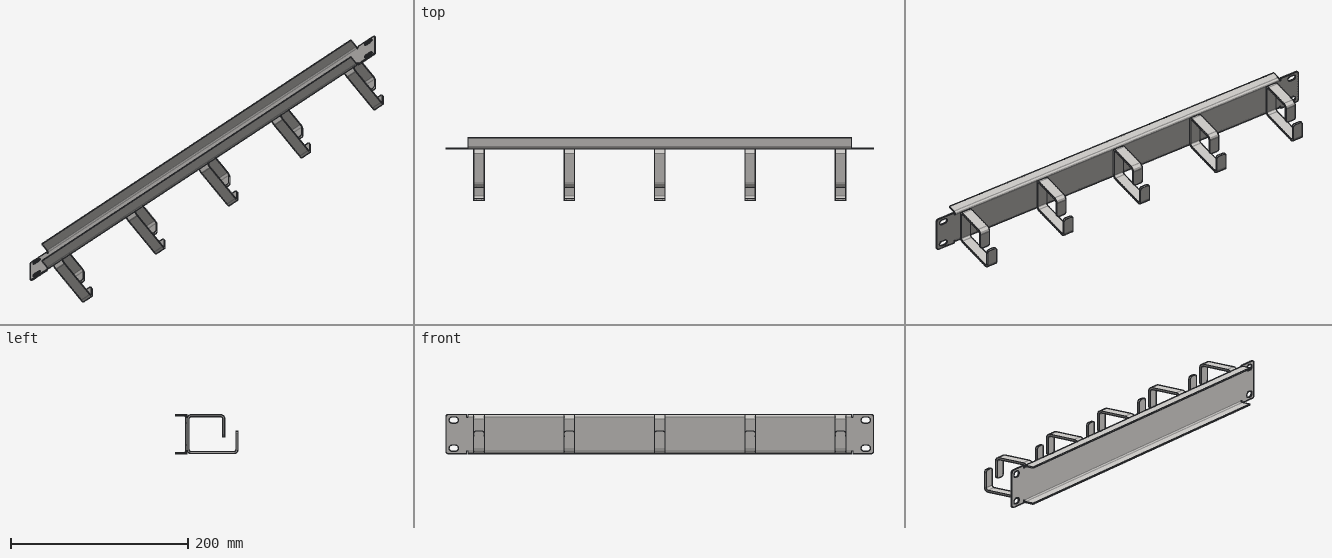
import cadquery as cq

panel_width = 483.0
panel_height = 44.45
panel_depth = 13.0
sheet_thickness = 1.5
sheet_bend_radius = 3.0

ear_length = 25.0
ear_corner_radius = 3.0
relief_width = 1.5
slot_spacing_x = 465.0
slot_spacing_z = 31.75
slot_length = 10.3
slot_height = 6.8

hook_count = 5
hook_pitch = 102.0
hook_width = 12.0
hook_thickness = 2.5
hook_bend_radius = 5.0
hook_height = 44.0
lower_arm_reach = 58.0
upper_arm_reach = 43.0
lip_length = 25.5
lip_corner_radius = 3.0

flange_width = panel_width - 2 * ear_length


def make_channel():
    """Folded sheet: a front web with a flange turned back along the top and the bottom."""
    inner_height = panel_height - 2 * sheet_thickness
    outer = (
        cq.Workplane("XY")
        .box(flange_width, panel_depth, panel_height)
        .translate((0, panel_depth / 2, 0))
        .edges("|X and <Y")
        .fillet(sheet_bend_radius)
    )
    inner = (
        cq.Workplane("XY")
        .box(flange_width, panel_depth, inner_height)
        .translate((0, panel_depth / 2 + sheet_thickness, 0))
        .edges("|X and <Y")
        .fillet(sheet_bend_radius - sheet_thickness)
    )
    return outer.cut(inner)


def make_ear(side):
    """Flat mounting ear on the left (side = -1) or right (side = 1), with two slots."""
    ear_center_x = side * (panel_width - ear_length) / 2
    ear = (
        cq.Workplane("XY")
        .box(ear_length, sheet_thickness, panel_height)
        .translate((ear_center_x, sheet_thickness / 2, 0))
        .edges("|Y and " + ("<X" if side < 0 else ">X"))
        .fillet(ear_corner_radius)
    )
    slots = (
        cq.Workplane("XZ")
        .pushPoints([(side * slot_spacing_x / 2, row * slot_spacing_z / 2) for row in (-1, 1)])
        .slot2D(slot_length, slot_height)
        .extrude(sheet_thickness, both=True)
    )
    relief_x = side * (flange_width + relief_width) / 2
    relief_z = (panel_height - sheet_bend_radius) / 2
    reliefs = (
        cq.Workplane("XZ")
        .pushPoints([(relief_x, row * relief_z) for row in (-1, 1)])
        .rect(relief_width, sheet_bend_radius)
        .extrude(sheet_thickness, both=True)
    )
    return ear.cut(slots).cut(reliefs)


def make_panel():
    """One folded sheet: the channel with an ear at each end."""
    return make_channel().union(make_ear(-1)).union(make_ear(1))


def make_hook(center_x):
    """Bent strip: a back leg on the panel, a long lower arm and a short upper arm, each with a lip."""
    middle = hook_thickness / 2
    bend = hook_bend_radius - middle
    back = -middle
    top = hook_height / 2 - middle
    bottom = -top
    upper_front = middle - upper_arm_reach
    lower_front = middle - lower_arm_reach
    upper_lip_end = hook_height / 2 - lip_length
    lower_lip_end = lip_length - hook_height / 2

    path = (
        cq.Workplane("YZ")
        .moveTo(upper_front, upper_lip_end)
        .lineTo(upper_front, top - bend)
        .radiusArc((upper_front + bend, top), bend)
        .lineTo(back - bend, top)
        .radiusArc((back, top - bend), bend)
        .lineTo(back, bottom + bend)
        .radiusArc((back - bend, bottom), bend)
        .lineTo(lower_front + bend, bottom)
        .radiusArc((lower_front, bottom + bend), bend)
        .lineTo(lower_front, lower_lip_end)
    )
    strip = (
        cq.Workplane("XY", origin=(0, upper_front, upper_lip_end))
        .rect(hook_width, hook_thickness)
        .sweep(path)
    )
    lip_corners = cq.selectors.BoxSelector(
        (-hook_width, -lower_arm_reach, upper_lip_end - middle),
        (hook_width, 0, lower_lip_end + middle),
    )
    rounded = strip.edges("|Y").edges(lip_corners).fillet(lip_corner_radius)
    return rounded.translate((center_x, 0, 0))


panel = make_panel()
hooks = [make_hook((index - (hook_count - 1) / 2) * hook_pitch) for index in range(hook_count)]

result = cq.Compound.makeCompound([panel.solids().val(), *[hook.solids().val() for hook in hooks]])